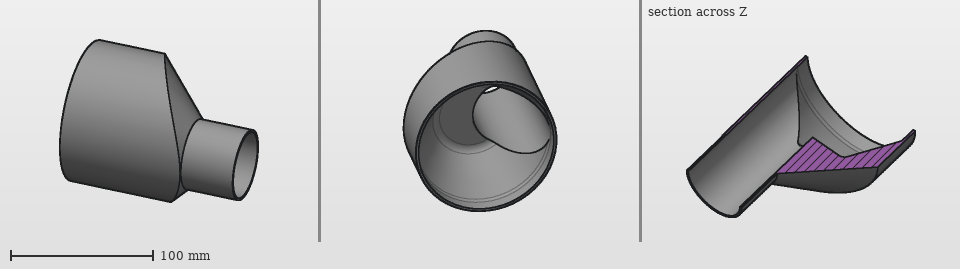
import cadquery as cq
import math

LARGE_DIAMETER = 101.6
LARGE_BORE_DIAMETER = 97.38
LARGE_BORE_DEPTH = 11.0
RIM_CHAMFER = 0.25

SMALL_DIAMETER = 50.8
SMALL_BORE_DIAMETER = 47.5
TOTAL_LENGTH = 130.18
SMALL_TUBE_LENGTH = 38.9
SHOULDER_START = 41.275

CAVITY_HALF_ANGLE = 30.0
CAVITY_FLOOR_DIAMETER = 46.0
CAVITY_BLEND_RADIUS = 6.35

large_radius = LARGE_DIAMETER / 2
large_bore_radius = LARGE_BORE_DIAMETER / 2
small_radius = SMALL_DIAMETER / 2
small_bore_radius = SMALL_BORE_DIAMETER / 2
shoulder_end = TOTAL_LENGTH - SMALL_TUBE_LENGTH
small_axis_y = small_bore_radius - large_bore_radius


def revolve_about_x(profile, axis_y=0.0):
    """Revolve a closed profile drawn as (X, radius) and move its axis to Y = axis_y."""
    return profile.close().revolve(360, (0, 0, 0), (1, 0, 0)).translate((0, axis_y, 0))


def make_large_body():
    """Cylinder of the large end, trimmed by the cone that leads to the small end."""
    cylinder = cq.Workplane("YZ").circle(large_radius).extrude(shoulder_end)
    cylinder = cylinder.faces("<X").edges().chamfer(RIM_CHAMFER)
    shoulder_start_radius = large_radius - small_axis_y
    cone_slope = (shoulder_start_radius - small_radius) / (shoulder_end - SHOULDER_START)
    cone_base_radius = small_radius + cone_slope * shoulder_end
    cone_profile = (
        cq.Workplane("XY")
        .lineTo(0, cone_base_radius)
        .lineTo(shoulder_end, small_radius)
        .lineTo(shoulder_end, 0)
    )
    return cylinder.intersect(revolve_about_x(cone_profile, small_axis_y))


def make_small_cylinder(radius, start):
    """Cylinder on the offset axis from X = start to the small end."""
    plane = cq.Workplane("YZ", origin=(start, small_axis_y, 0))
    return plane.circle(radius).extrude(TOTAL_LENGTH - start)


def make_cavity():
    """Straight bore, rounded into a cone, rounded again into a flat floor."""
    angle = math.radians(CAVITY_HALF_ANGLE)
    half = angle / 2
    floor_radius = CAVITY_FLOOR_DIAMETER / 2

    entry_centre_r = large_bore_radius - CAVITY_BLEND_RADIUS
    entry_mid = (
        LARGE_BORE_DEPTH + CAVITY_BLEND_RADIUS * math.sin(half),
        entry_centre_r + CAVITY_BLEND_RADIUS * math.cos(half),
    )
    cone_start = (
        LARGE_BORE_DEPTH + CAVITY_BLEND_RADIUS * math.sin(angle),
        entry_centre_r + CAVITY_BLEND_RADIUS * math.cos(angle),
    )

    cone_end_r = floor_radius + CAVITY_BLEND_RADIUS * math.cos(angle)
    cone_end_x = cone_start[0] + (cone_start[1] - cone_end_r) / math.tan(angle)
    floor_centre_x = cone_end_x - CAVITY_BLEND_RADIUS * math.sin(angle)
    floor_x = floor_centre_x + CAVITY_BLEND_RADIUS
    mid_angle = (angle + math.pi / 2) / 2
    floor_mid = (
        floor_centre_x + CAVITY_BLEND_RADIUS * math.sin(mid_angle),
        floor_radius + CAVITY_BLEND_RADIUS * math.cos(mid_angle),
    )

    profile = (
        cq.Workplane("XY")
        .lineTo(0, large_bore_radius)
        .lineTo(LARGE_BORE_DEPTH, large_bore_radius)
        .threePointArc(entry_mid, cone_start)
        .lineTo(cone_end_x, cone_end_r)
        .threePointArc(floor_mid, (floor_x, floor_radius))
        .lineTo(floor_x, 0)
    )
    return revolve_about_x(profile)


body = make_large_body().union(make_small_cylinder(small_radius, shoulder_end))
result = body.cut(make_cavity()).cut(make_small_cylinder(small_bore_radius, 0))